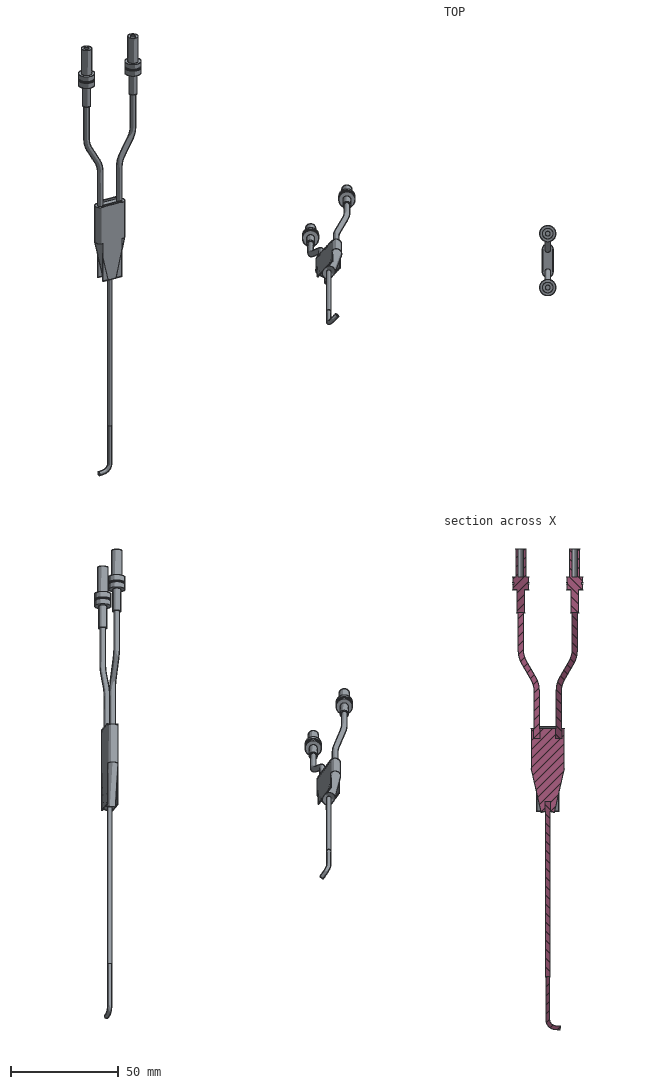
import cadquery as cq
import math

PLUG_TOP = 121.5
COLLAR_TOP = 108.6
COLLAR_BOTTOM = 102.6
PLUG_BOTTOM = 92.0
UPPER_BEND_TOP = 74.7
LOWER_BEND_BOTTOM = 55.8
PLATE_TOP = 39.3
HOUSING_TOP = 38.4
TAPER_TOP = 19.6
SHEATH_BOTTOM = -76.7
TIP_BOTTOM = -101.5

PLUG_SPACING = 25.0
BARREL_DIAMETER = 5.0
BORE_DIAMETER = 2.2
COLLAR_DIAMETER = 7.5
TAIL_DIAMETER = 3.8
GROOVE_WIDTH = 0.7
GROOVE_DEPTH = 0.5

CABLE_SPACING = 10.3
CABLE_DIAMETER = 2.7
CABLE_BEND_ANGLE = math.radians(30)
CABLE_SOCKET_DEPTH = 4.5

HOUSING_THICKNESS = 5.1
SLEEVE_END_OFFSET = 0.7
PLATE_THICKNESS = 0.5

SHEATH_DIAMETER = 2.2
SHEATH_SOCKET_DEPTH = 4.5
TIP_DIAMETER = 2.0
TIP_BEND_RADIUS = 3.8
TIP_BEND_ANGLE = math.radians(85)
TIP_REACH = 5.8

SIDES = (-1, 1)


def cylinder(diameter, bottom, top, y=0):
    """Vertical cylinder centred on X = 0."""
    base = cq.Workplane("XY", origin=(0, y, bottom))
    return base.circle(diameter / 2).extrude(top - bottom)


def make_plug(side):
    """Plug with a bored barrel, a grooved collar and a narrower tail."""
    y = side * PLUG_SPACING / 2
    barrel = cylinder(BARREL_DIAMETER, COLLAR_TOP, PLUG_TOP, y)
    bore = cylinder(BORE_DIAMETER, COLLAR_TOP, PLUG_TOP, y)
    collar = cylinder(COLLAR_DIAMETER, COLLAR_BOTTOM, COLLAR_TOP, y)
    tail = cylinder(TAIL_DIAMETER, PLUG_BOTTOM, COLLAR_BOTTOM, y)

    groove_bottom = (COLLAR_TOP + COLLAR_BOTTOM - GROOVE_WIDTH) / 2
    groove_top = groove_bottom + GROOVE_WIDTH
    groove_floor = cylinder(COLLAR_DIAMETER - 2 * GROOVE_DEPTH, groove_bottom, groove_top, y)
    groove = cylinder(COLLAR_DIAMETER, groove_bottom, groove_top, y).cut(groove_floor)
    return barrel.union(collar).union(tail).cut(bore).cut(groove)


def make_cable(side):
    """Round cable from the plug down into the housing."""
    outer_y = side * PLUG_SPACING / 2
    inner_y = side * CABLE_SPACING / 2
    shift = (PLUG_SPACING - CABLE_SPACING) / 2
    drop = UPPER_BEND_TOP - LOWER_BEND_BOTTOM
    sine = math.sin(CABLE_BEND_ANGLE)
    cosine = math.cos(CABLE_BEND_ANGLE)
    radius = (drop * sine - shift * cosine) / (2 * (1 - cosine))

    def upper_arc(angle):
        y = outer_y - side * radius * (1 - math.cos(angle))
        return y, UPPER_BEND_TOP - radius * math.sin(angle)

    def lower_arc(angle):
        y = inner_y + side * radius * (1 - math.cos(angle))
        return y, LOWER_BEND_BOTTOM + radius * math.sin(angle)

    path = (
        cq.Workplane("YZ")
        .moveTo(outer_y, PLUG_BOTTOM)
        .lineTo(outer_y, UPPER_BEND_TOP)
        .threePointArc(upper_arc(CABLE_BEND_ANGLE / 2), upper_arc(CABLE_BEND_ANGLE))
        .lineTo(*lower_arc(CABLE_BEND_ANGLE))
        .threePointArc(lower_arc(CABLE_BEND_ANGLE / 2), lower_arc(0))
        .lineTo(inner_y, HOUSING_TOP - CABLE_SOCKET_DEPTH)
    )
    start = cq.Workplane("XY", origin=(0, outer_y, PLUG_BOTTOM))
    return start.circle(CABLE_DIAMETER / 2).sweep(path)


def make_sheath():
    """Straight shaft that carries the tip."""
    return cylinder(SHEATH_DIAMETER, SHEATH_BOTTOM, SHEATH_SOCKET_DEPTH)


def make_tip():
    """Round tip below the sheath, hooked toward -Y at its lower end."""
    sine = math.sin(TIP_BEND_ANGLE)
    cosine = math.cos(TIP_BEND_ANGLE)
    end_y = -TIP_REACH
    end_z = TIP_BOTTOM + TIP_DIAMETER / 2 * sine
    straight = (TIP_REACH - TIP_BEND_RADIUS * (1 - cosine)) / sine
    bend_top = end_z + straight * cosine + TIP_BEND_RADIUS * sine

    def bend(angle):
        return -TIP_BEND_RADIUS * (1 - math.cos(angle)), bend_top - TIP_BEND_RADIUS * math.sin(angle)

    path = (
        cq.Workplane("YZ")
        .moveTo(0, SHEATH_BOTTOM)
        .lineTo(0, bend_top)
        .threePointArc(bend(TIP_BEND_ANGLE / 2), bend(TIP_BEND_ANGLE))
        .lineTo(end_y, end_z)
    )
    start = cq.Workplane("XY", origin=(0, 0, SHEATH_BOTTOM))
    return start.circle(TIP_DIAMETER / 2).sweep(path)


def make_upper_housing():
    """Rounded-end block above the taper."""
    base = cq.Workplane("XY", origin=(0, 0, TAPER_TOP))
    outline = base.slot2D(CABLE_SPACING + HOUSING_THICKNESS, HOUSING_THICKNESS, 90)
    return outline.extrude(HOUSING_TOP - TAPER_TOP)


def make_leaning_sleeve(side):
    """Sleeve that leans inward below the taper line, its lower end square to its axis."""
    end_y = side * SLEEVE_END_OFFSET
    axis = cq.Vector(0, side * CABLE_SPACING / 2 - end_y, TAPER_TOP)
    overshoot = HOUSING_THICKNESS
    cylinder_length = axis.Length + overshoot
    sleeve = cq.Workplane(
        cq.Solid.makeCylinder(HOUSING_THICKNESS / 2, cylinder_length, cq.Vector(0, end_y, 0), axis)
    )
    above_taper = (
        cq.Workplane("XY", origin=(0, 0, TAPER_TOP))
        .rect(2 * HOUSING_THICKNESS, 4 * CABLE_SPACING)
        .extrude(2 * overshoot)
    )
    return sleeve.cut(above_taper)


def make_tapered_core():
    """Solid wedge that fills the space between the axes of the leaning sleeves."""
    half_width = CABLE_SPACING / 2
    outline = [
        (-half_width, TAPER_TOP),
        (half_width, TAPER_TOP),
        (SLEEVE_END_OFFSET, 0),
        (-SLEEVE_END_OFFSET, 0),
    ]
    wedge = cq.Workplane("YZ").polyline(outline).close()
    return wedge.extrude(HOUSING_THICKNESS / 2, both=True)


def make_plate(side):
    """Thin full-height plate on one broad face of the housing."""
    x = side * (HOUSING_THICKNESS - PLATE_THICKNESS) / 2
    base = cq.Workplane("XY", origin=(x, 0, 0))
    return base.rect(PLATE_THICKNESS, CABLE_SPACING).extrude(PLATE_TOP)


def make_housing(inserts):
    """Housing with sockets for the given cables and sheath."""
    body = make_upper_housing().union(make_tapered_core())
    for side in SIDES:
        body = body.union(make_leaning_sleeve(side)).union(make_plate(side))
    for insert in inserts:
        body = body.cut(insert)
    return body


plugs = [make_plug(side) for side in SIDES]
cables = [make_cable(side) for side in SIDES]
sheath = make_sheath()
tip = make_tip()
housing = make_housing([*cables, sheath])

result = cq.Compound.makeCompound([
    housing.val(),
    sheath.val(),
    tip.val(),
    *[plug.val() for plug in plugs],
    *[cable.val() for cable in cables],
])